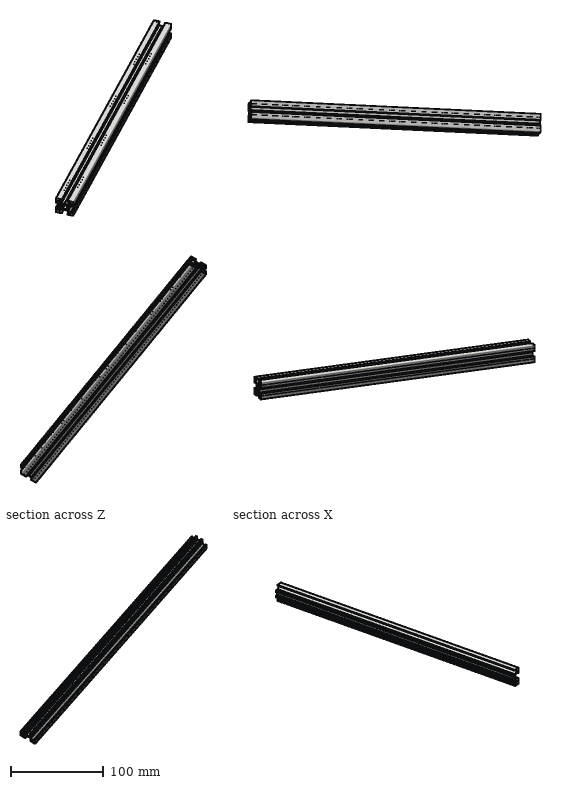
import cadquery as cq
import math

SIDE = 20.0
LENGTH = 320.0
CORNER_RADIUS = 0.5
SLOT_OPENING = 6.4
LIP_THICKNESS = 1.3
POCKET_WIDTH = 12.3
CORE_SIDE = 9.0
BORE_SIDE = 4.8
BORE_RELIEF_RADIUS = 0.6
WEB_THICKNESS = 1.4
GROOVE_WIDTH = 0.6
GROOVE_DEPTH = 0.3

HALF_SIDE = SIDE / 2
HALF_CORE = CORE_SIDE / 2
LIP_INNER = HALF_SIDE - LIP_THICKNESS
WEB_OFFSET = WEB_THICKNESS / math.sqrt(2)


def bar(sketch):
    """Extrude a profile drawn on XZ to the full length, centred on Y."""
    return sketch.extrude(LENGTH / 2, both=True)


def square_bar(side):
    return bar(cq.Workplane("XZ").rect(side, side))


def t_slot():
    """Slot on the +Z face: opening, pocket narrowing along the webs, and V-groove."""
    half_opening = SLOT_OPENING / 2
    half_pocket = POCKET_WIDTH / 2
    half_groove = GROOVE_WIDTH / 2
    right_side = [
        (half_groove, HALF_CORE),
        (HALF_CORE - WEB_OFFSET, HALF_CORE),
        (half_pocket, half_pocket + WEB_OFFSET),
        (half_pocket, LIP_INNER),
        (half_opening, LIP_INNER),
        (half_opening, HALF_SIDE),
    ]
    left_side = [(-x, z) for x, z in reversed(right_side)]
    groove_bottom = (0, HALF_CORE - GROOVE_DEPTH)
    return bar(cq.Workplane("XZ").polyline([groove_bottom] + right_side + left_side).close())


def bore():
    """Square through bore with a round relief centred on each of its corners."""
    corners = cq.Workplane("XZ").rect(BORE_SIDE, BORE_SIDE, forConstruction=True).vertices()
    return square_bar(BORE_SIDE).union(bar(corners.circle(BORE_RELIEF_RADIUS)))


def build_profile():
    body = square_bar(SIDE).edges("|Y").fillet(CORNER_RADIUS)
    slot = t_slot()
    for quarter_turn in range(4):
        body = body.cut(slot.rotate((0, 0, 0), (0, 1, 0), 90 * quarter_turn))
    return body.cut(bore())


result = build_profile()